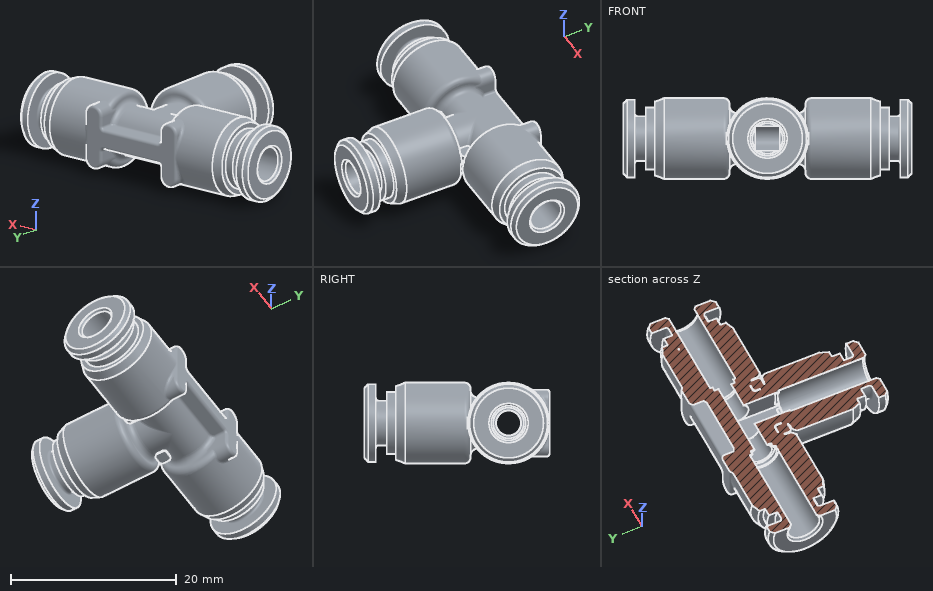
import cadquery as cq
reach = 17.45
body_radius = 4.905
body_start = 4.57
body_end = 12.5
taper_end = 13.65
taper_radius = 4.45
shoulder_round = 0.77
sleeve_radius = 3.77
sleeve_end = 14.73
neck_radius = 2.72
ring_radius = 4.7
ring_start = 16.02
ring_chamfer = 0.5
neck_fillet = 0.28

core_radius = 3.1
core_fillet = 0.85

mouth_radius = 2.37
mouth_depth = 0.35
tube_radius = 2.1
tube_stop = 5.6
passage_radius = 1.5
passage_step_radius = 1.85
passage_step_depth = 0.52

gusset_offset = 3.65
gusset_width = 1.6
gusset_corner = 0.4
gusset_height = 2.85
bridge_inner = 4.2
bridge_long = 5.05
bridge_short = 4.7
bridge_height = 1.35

small_fillet = 0.4
back_face = 5.0
plate_half_height = 1.25
post_offset = 5.75
post_radius = 1.25
post_half_height = 4.05

pick_margin = 0.05
plate_pick = 0.35
post_pick = 1.0


def arm_solid():
    """One arm, turned about +X from the centre out to its push ring."""
    fillet_start = body_start - core_fillet
    profile = (
        cq.Workplane("XY")
        .lineTo(0, core_radius)
        .lineTo(fillet_start, core_radius)
        .radiusArc((body_start, core_radius + core_fillet), -core_fillet)
        .lineTo(body_start, body_radius - shoulder_round)
        .radiusArc((body_start + shoulder_round, body_radius), shoulder_round)
        .lineTo(body_end, body_radius)
        .lineTo(taper_end, taper_radius)
        .lineTo(taper_end, sleeve_radius)
        .lineTo(sleeve_end, sleeve_radius)
        .lineTo(sleeve_end, neck_radius)
        .lineTo(ring_start - neck_fillet, neck_radius)
        .radiusArc((ring_start, neck_radius + neck_fillet), -neck_fillet)
        .lineTo(ring_start, ring_radius)
        .lineTo(reach - ring_chamfer, ring_radius)
        .lineTo(reach, ring_radius - ring_chamfer)
        .lineTo(reach, 0)
        .close()
    )
    return profile.revolve(360, (0, 0, 0), (1, 0, 0))


def arm_bore():
    """Flared tube socket, its floor step and the round passage on to the centre."""
    step_floor = tube_stop - passage_step_depth
    profile = (
        cq.Workplane("XY")
        .lineTo(0, passage_radius)
        .lineTo(step_floor, passage_radius)
        .lineTo(step_floor, passage_step_radius)
        .lineTo(tube_stop, passage_step_radius)
        .lineTo(tube_stop, tube_radius)
        .lineTo(reach - mouth_depth, tube_radius)
        .lineTo(reach, mouth_radius)
        .lineTo(reach, 0)
        .close()
    )
    return profile.revolve(360, (0, 0, 0), (1, 0, 0))


def core_tee():
    """Crossing core cylinders, blended along the crease between them."""
    run = cq.Workplane("YZ").circle(core_radius).extrude(body_start, both=True)
    branch = cq.Workplane("XZ").circle(core_radius).extrude(body_start)
    return run.union(branch).edges("%ELLIPSE").fillet(small_fillet)


def back_rib():
    """H-shaped rib: two round-ended posts joined by a plate, rounded along the back rim."""
    plate = cq.Workplane("XZ").rect(2 * post_offset, 2 * plate_half_height).extrude(-back_face)
    posts = (
        cq.Workplane("XZ")
        .pushPoints([(-post_offset, 0), (post_offset, 0)])
        .slot2D(2 * post_half_height, 2 * post_radius, 90)
        .extrude(-back_face)
    )
    rib = plate.union(posts)
    corner_x = post_offset - post_radius + pick_margin
    corner_z = plate_half_height + pick_margin
    notch_corners = cq.selectors.BoxSelector(
        (-corner_x, 0, -corner_z), (corner_x, back_face, corner_z)
    )
    rib = rib.edges("|Y").edges(notch_corners).fillet(small_fillet)
    return rib.faces(">Y").edges().fillet(small_fillet)


def corner_gusset():
    """Gusset in the corner between the +X arm and the branch, with its shoulder bridge."""
    gusset = (
        cq.Workplane("XY")
        .center(gusset_offset, -gusset_offset)
        .rect(gusset_width, gusset_width)
        .extrude(gusset_height / 2, both=True)
        .edges("|Z")
        .fillet(gusset_corner)
    )
    bridge = (
        cq.Workplane("XY")
        .moveTo(bridge_inner, -bridge_inner)
        .lineTo(bridge_long, -bridge_short)
        .lineTo(bridge_short, -bridge_long)
        .close()
        .extrude(bridge_height / 2, both=True)
    )
    return gusset.union(bridge)


def turned(solid, angle):
    """The solid turned about the Z axis."""
    return solid.rotate((0, 0, 0), (0, 0, 1), angle)


arm_angles = (0, 180, -90)

result = core_tee()
for angle in arm_angles:
    result = result.union(turned(arm_solid(), angle))

result = result.union(back_rib())
plate_edges = cq.selectors.BoxSelector(
    (-plate_pick, core_radius / 2, -plate_half_height - plate_pick),
    (plate_pick, back_face - 2 * small_fillet, plate_half_height + plate_pick),
)
result = result.edges(plate_edges).fillet(small_fillet)

gusset = corner_gusset()
result = result.union(gusset).union(gusset.mirror("YZ"))

for angle in arm_angles:
    result = result.cut(turned(arm_bore(), angle))

result = result.cut(
    cq.Workplane("XZ").rect(2 * passage_radius, 2 * passage_radius).extrude(tube_stop)
)